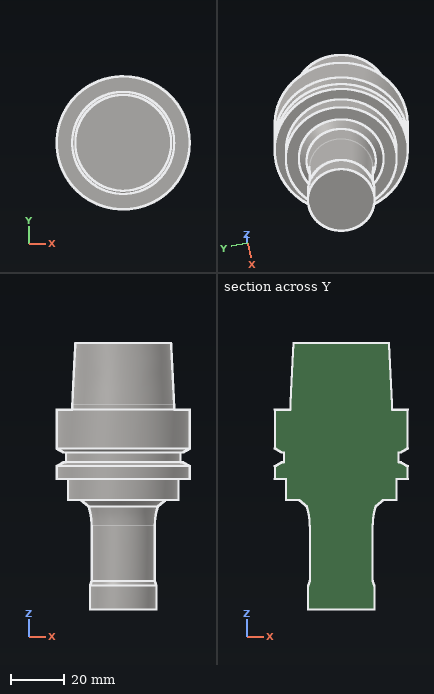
import cadquery as cq

total_length = 100.0
flange_top = 75.0
flange_bottom = flange_top - 26.0
boss_bottom = 41.1
flare_top = 38.7
neck_top = 31.5
neck_bottom = 10.7
nose_top = 9.0

nose_radius = 25.0 / 2
neck_radius = 23.8 / 2
flare_radius = 13.0
flare_cone_radius = 15.9
boss_radius = 41.6 / 2

flange_radius = 50.0 / 2
groove_radius = 43.0 / 2
groove_shoulder_radius = 22.4
groove_center = flange_top - 17.9
groove_floor_width = 3.6
groove_cone_height = 1.5
groove_floor_bottom = groove_center - groove_floor_width / 2
groove_floor_top = groove_center + groove_floor_width / 2

shank_radius = 38.3 / 2
shank_collar_height = 2.0
taper_ratio = 0.1
taper_bottom = flange_top + shank_collar_height
shank_top_radius = shank_radius - (total_length - taper_bottom) * taper_ratio / 2

flare_height = flare_top - neck_top
flare_growth = flare_radius - neck_radius
flare_arc_radius = (flare_height**2 + flare_growth**2) / (2 * flare_growth)
flare_middle_height = flare_height / 2
flare_middle_radius = (
    neck_radius + flare_arc_radius - (flare_arc_radius**2 - flare_middle_height**2) ** 0.5
)

profile = (
    cq.Workplane("XZ")
    .moveTo(0, 0)
    .lineTo(nose_radius, 0)
    .lineTo(nose_radius, nose_top)
    .lineTo(neck_radius, neck_bottom)
    .lineTo(neck_radius, neck_top)
    .threePointArc(
        (flare_middle_radius, neck_top + flare_middle_height),
        (flare_radius, flare_top),
    )
    .lineTo(flare_cone_radius, boss_bottom)
    .lineTo(boss_radius, boss_bottom)
    .lineTo(boss_radius, flange_bottom)
    .lineTo(flange_radius, flange_bottom)
    .lineTo(flange_radius, groove_floor_bottom - groove_cone_height)
    .lineTo(groove_shoulder_radius, groove_floor_bottom)
    .lineTo(groove_radius, groove_floor_bottom)
    .lineTo(groove_radius, groove_floor_top)
    .lineTo(groove_shoulder_radius, groove_floor_top)
    .lineTo(flange_radius, groove_floor_top + groove_cone_height)
    .lineTo(flange_radius, flange_top)
    .lineTo(shank_radius, flange_top)
    .lineTo(shank_radius, taper_bottom)
    .lineTo(shank_top_radius, total_length)
    .lineTo(0, total_length)
    .close()
)

result = profile.revolve(360, (0, 0, 0), (0, 1, 0))